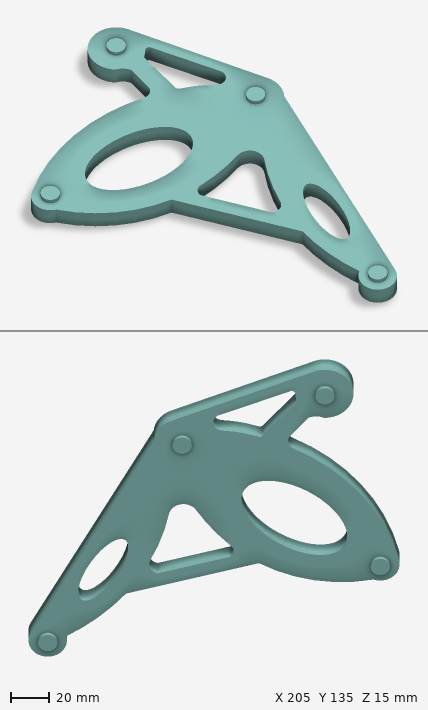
import cadquery as cq
import math

plate_thickness = 10.0
pin_diameter = 10.0
pin_length = 15.0

lower_left_pin = (0, 0)
upper_left_pin = (0, 110.0)
upper_pin = (80, 100.0)
right_pin = (180.0, 0)
pin_centres = [lower_left_pin, upper_left_pin, upper_pin, right_pin]

large_end_radius = 15.0
small_end_radius = 10.0

upper_end_stop_angle = 21
lower_left_stop_angle = -54
neck_start_angle = -73
bottom_edge_y = 17.5
bottom_edge_left = (60.9, bottom_edge_y)
bottom_edge_right = (132.8, bottom_edge_y)
right_curve_middle = (156.4, 4.5)
lower_curve_middle = (35.9, -0.5)
left_curve_middle = (-1.5, 45.3)
left_curve_top = (25.2, 82)
notch_middle = (26.5, 85.9)
notch_top = (24.8, 89.2)
neck_line_end = (12.0, 98.0)
neck_middle = (9.5, 98.0)

large_ellipse = {"centre": (35.7, 39.8), "half_length": 31.4, "half_width": 17.6, "angle": 50.3}
small_ellipse = {"centre": (140.5, 34.8), "half_length": 21.7, "half_width": 8.0, "angle": -44.2}


def point_on_circle(centre, radius, angle):
    """Point on a circle, with the angle in degrees from +X."""
    turn = math.radians(angle)
    return (centre[0] + radius * math.cos(turn), centre[1] + radius * math.sin(turn))


def direction(start, end):
    """Angle in degrees of the line from start to end."""
    return math.degrees(math.atan2(end[1] - start[1], end[0] - start[0]))


def extrude_centred(profile, height):
    """Extrude a closed profile to the given height, centred on z = 0."""
    return profile.extrude(height).translate((0, 0, -height / 2))


def make_blank():
    """Solid plate outline, traced clockwise from the upper left end."""
    top_normal = direction(upper_left_pin, upper_pin) + 90
    top_left = point_on_circle(upper_left_pin, large_end_radius, top_normal)
    top_right = point_on_circle(upper_pin, large_end_radius, top_normal)
    slope_top = point_on_circle(upper_pin, large_end_radius, upper_end_stop_angle)
    upper_end_middle = point_on_circle(
        upper_pin, large_end_radius, (top_normal + upper_end_stop_angle) / 2
    )

    slope_span = math.dist(right_pin, slope_top)
    tangent_turn = math.degrees(math.acos(small_end_radius / slope_span))
    slope_normal = direction(right_pin, slope_top) - tangent_turn
    slope_bottom = point_on_circle(right_pin, small_end_radius, slope_normal)
    right_end_middle = point_on_circle(right_pin, small_end_radius, -90)
    right_end_left = point_on_circle(right_pin, small_end_radius, 180)

    lower_left_start = point_on_circle(lower_left_pin, small_end_radius, lower_left_stop_angle)
    lower_left_middle = point_on_circle(lower_left_pin, small_end_radius, -120)
    lower_left_end = point_on_circle(lower_left_pin, small_end_radius, 180)

    neck_start = point_on_circle(upper_left_pin, large_end_radius, neck_start_angle)
    upper_left_middle = point_on_circle(upper_left_pin, large_end_radius, 180)

    outline = (
        cq.Workplane("XY")
        .moveTo(*top_left)
        .lineTo(*top_right)
        .threePointArc(upper_end_middle, slope_top)
        .lineTo(*slope_bottom)
        .threePointArc(right_end_middle, right_end_left)
        .threePointArc(right_curve_middle, bottom_edge_right)
        .lineTo(*bottom_edge_left)
        .threePointArc(lower_curve_middle, lower_left_start)
        .threePointArc(lower_left_middle, lower_left_end)
        .threePointArc(left_curve_middle, left_curve_top)
        .threePointArc(notch_middle, notch_top)
        .lineTo(*neck_line_end)
        .threePointArc(neck_middle, neck_start)
        .threePointArc(upper_left_middle, top_left)
        .close()
    )
    return extrude_centred(outline, plate_thickness)


def make_upper_window():
    """Rounded triangular opening between the two upper pins."""
    outline = (
        cq.Workplane("XY")
        .moveTo(17.6, 116.2)
        .lineTo(57.2, 111.7)
        .threePointArc((61.0, 107.0), (58.2, 102.3))
        .threePointArc((49.2, 98.5), (40.8, 93.7))
        .threePointArc((39.4, 93.0), (37.7, 93.7))
        .lineTo(15.5, 108.6)
        .threePointArc((15.4, 111.3), (14.8, 113.8))
        .threePointArc((15.4, 115.8), (17.6, 116.2))
        .close()
    )
    return extrude_centred(outline, plate_thickness)


def make_centre_window():
    """Triangular opening with bowed sides and rounded corners above the bottom edge."""
    window_floor = 25.2
    floor_left = (74.5, window_floor)
    floor_right = (113.5, window_floor)
    outline = (
        cq.Workplane("XY")
        .moveTo(*floor_left)
        .lineTo(*floor_right)
        .threePointArc((116.6, 29.5), (115.2, 34.0))
        .threePointArc((105.8, 46.1), (98.0, 59.6))
        .threePointArc((91.2, 63.5), (84, 58.5))
        .threePointArc((79.5, 46.0), (72.4, 32.0))
        .threePointArc((71.7, 28.0), floor_left)
        .close()
    )
    return extrude_centred(outline, plate_thickness)


def make_elliptical_opening(centre, half_length, half_width, angle):
    """Elliptical opening through the plate, its length turned by angle from +X."""
    outline = cq.Workplane("XY").center(*centre).ellipse(half_length, half_width, rotation_angle=angle)
    return extrude_centred(outline, plate_thickness)


def make_pin(centre):
    """Round pin, standing out equally on both faces of the plate."""
    outline = cq.Workplane("XY").center(*centre).circle(pin_diameter / 2)
    return extrude_centred(outline, pin_length)


def make_plate():
    plate = make_blank()
    plate = plate.cut(make_upper_window())
    plate = plate.cut(make_centre_window())
    for opening in (large_ellipse, small_ellipse):
        plate = plate.cut(make_elliptical_opening(**opening))
    for centre in pin_centres:
        plate = plate.cut(make_pin(centre))
    return plate


plate = make_plate()
pins = [make_pin(centre) for centre in pin_centres]

result = cq.Compound.makeCompound([plate.val(), *[pin.val() for pin in pins]])